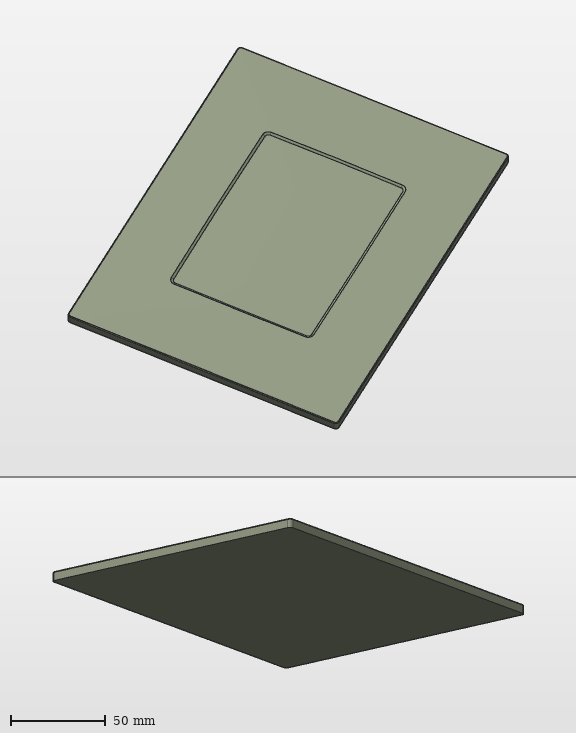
import cadquery as cq
import math

width = 160.0
length = 201.0
total_height = 5.6
corner_radius = 2.0
edge_chamfer = 0.5
bevel_angle = 45

recess_width = 84.8
recess_length = 113.8
recess_corner_radius = 3.6
recess_depth = 0.8
recess_slope_width = 1.5

crown_rise = 0.8
rim_rise = crown_rise * (1 - (recess_width / width) ** 2)
edge_height = total_height - rim_rise

crown_clearance = 0.1
crown_samples = 9
crown_tolerance = 1e-4


def crowned_block(base_height):
    """Rectangular block whose top rises as a shallow parabolic crown above straight edges."""

    def crown_point(u, v):
        rise = crown_rise * (1 - u**2) * (1 - v**2)
        return cq.Vector(u * width / 2, v * length / 2, base_height + rise)

    fractions = [2 * i / (crown_samples - 1) - 1 for i in range(crown_samples)]
    grid = [[crown_point(u, v) for v in fractions] for u in fractions]
    top = cq.Face.makeSplineApprox(grid, tol=crown_tolerance)
    return cq.Workplane(cq.Solid.extrudeLinear(top, cq.Vector(0, 0, -2 * total_height)))


def plate():
    """Rounded plate with a crowned top and a bevel around the upper edge."""
    outline = cq.Sketch().rect(width, length).vertices().fillet(corner_radius)
    bevel_start = edge_height - edge_chamfer
    side = cq.Workplane("XY").placeSketch(outline).extrude(bevel_start)
    bevel_height = edge_chamfer + crown_rise + crown_clearance
    bevel = (
        cq.Workplane("XY")
        .workplane(offset=bevel_start)
        .placeSketch(outline)
        .extrude(bevel_height, taper=bevel_angle)
    )
    return side.union(bevel).intersect(crowned_block(edge_height))


def recess_cutter():
    """Tapered pocket tool with a floor that follows the crown of the top."""
    slope_angle = math.degrees(math.atan2(recess_slope_width, recess_depth))
    outline = cq.Sketch().rect(recess_width, recess_length).vertices().fillet(recess_corner_radius)
    rim_drop = rim_rise * (recess_length / length) ** 2
    tapered = (
        cq.Workplane("XY")
        .workplane(offset=total_height)
        .placeSketch(outline)
        .extrude(-(recess_depth + rim_drop), taper=slope_angle)
    )
    above_rim = (
        cq.Workplane("XY")
        .workplane(offset=total_height)
        .placeSketch(outline)
        .extrude(crown_rise)
    )
    return tapered.union(above_rim).cut(crowned_block(edge_height - recess_depth))


result = plate().cut(recess_cutter())